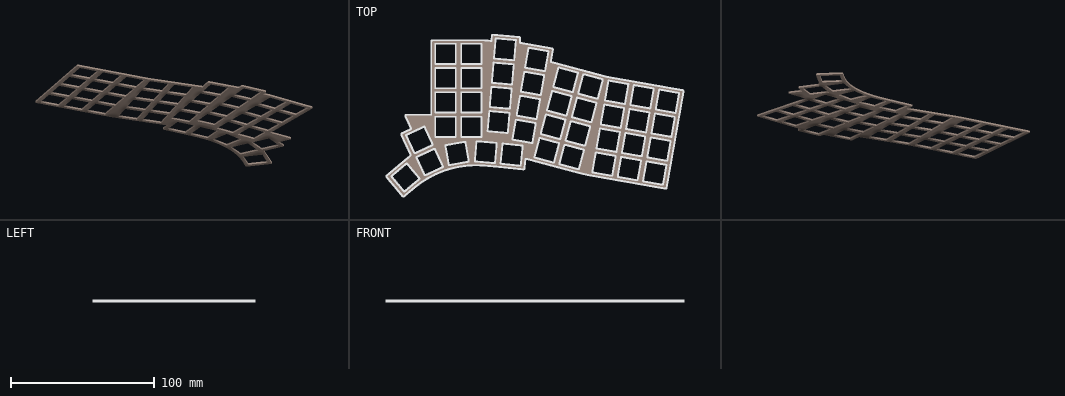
import cadquery as cq
import math

QUARTER_TURN = 90.0

PLATE_THICKNESS = 1.2
KEY_WIDTH = 18.0
KEY_DEPTH = 17.0
CUTOUT = 14.0
ROWS = 4
RIM = 1.0

INNER_CORNER = (-71.49, -16.2)
INNER_BLOCK = (2, 0.0, 0.0)
MIDDLE_BLOCK = (1, -5.0, 4.15)
RING_BLOCK = (1, -10.0, -4.12)
OUTER_BLOCK = (2, -15.0, -9.53)
LAST_COLUMNS = 3
LAST_ANGLE = -10.0

THUMB_PIVOT = (-78.1, -43.865)
THUMB_TIP_ANGLE = 40.0
THUMB_KEYS = ((25.0, 2), (10.0, 1), (-5.0, 1), (-6.0, 1))
THUMB_BLEND_RADIUS = 66.0
BLENDED_BENDS = 3

TIP_FILLET = 1.0

SHELF_DROP = 0.95
SHELF_REACH = 8.05


def shift(point, angle, along, up):
    """Move a point along the axes of a frame turned by angle degrees."""
    a = math.radians(angle)
    return (
        point[0] + along * math.cos(a) - up * math.sin(a),
        point[1] + along * math.sin(a) + up * math.cos(a),
    )


def crossing(point_a, angle_a, point_b, angle_b):
    """Point where two lines, each given by a point and a direction, meet."""
    a = math.radians(angle_a)
    b = math.radians(angle_b)
    dx = point_b[0] - point_a[0]
    dy = point_b[1] - point_a[1]
    distance = (dx * math.sin(b) - dy * math.cos(b)) / math.sin(b - a)
    return shift(point_a, angle_a, distance, 0)


class KeyBlock:
    """Rectangular group of keys, located by its bottom-left corner and angle."""

    def __init__(self, corner, angle, columns, rows):
        self.angle = angle
        self.columns = columns
        self.rows = rows
        self.bottom_left = corner
        self.bottom_right = shift(corner, angle, columns * KEY_WIDTH, 0)
        self.top_left = shift(corner, angle, 0, rows * KEY_DEPTH)
        self.top_right = shift(corner, angle, columns * KEY_WIDTH, rows * KEY_DEPTH)

    def key_centers(self):
        return [
            shift(self.bottom_left, self.angle, (column + 0.5) * KEY_WIDTH, (row + 0.5) * KEY_DEPTH)
            for column in range(self.columns)
            for row in range(self.rows)
        ]


def finger_blocks():
    """Each block starts at the bottom-right corner of the one before it."""
    blocks = []
    corner = INNER_CORNER
    for columns, angle, stagger in (INNER_BLOCK, MIDDLE_BLOCK, RING_BLOCK, OUTER_BLOCK):
        block = KeyBlock(shift(corner, angle, 0, stagger), angle, columns, ROWS)
        blocks.append(block)
        corner = block.bottom_right
    corner = shift(blocks[-1].top_right, LAST_ANGLE, 0, -ROWS * KEY_DEPTH)
    blocks.append(KeyBlock(corner, LAST_ANGLE, LAST_COLUMNS, ROWS))
    return blocks


def thumb_blocks():
    """Tip key left of the pivot, then a two-key stack and single keys to its right."""
    tip_corner = shift(THUMB_PIVOT, THUMB_TIP_ANGLE, -KEY_WIDTH, 0)
    blocks = [KeyBlock(tip_corner, THUMB_TIP_ANGLE, 1, 1)]
    corner = THUMB_PIVOT
    for angle, rows in THUMB_KEYS:
        block = KeyBlock(corner, angle, 1, rows)
        blocks.append(block)
        corner = block.bottom_right
    return blocks


def outline_points(fingers, thumbs):
    """Corners of the key area, clockwise from the inner block's top-left corner."""
    inner, middle, ring, outer, last = fingers
    tip, stack = thumbs[:2]
    end = thumbs[-1]

    top = [
        inner.top_left,
        inner.top_right,
        crossing(inner.top_right, middle.angle, middle.top_left, middle.angle + QUARTER_TURN),
        middle.top_left,
        middle.top_right,
        crossing(middle.top_right, middle.angle + QUARTER_TURN, ring.top_left, ring.angle),
        ring.top_right,
        crossing(ring.top_right, ring.angle + QUARTER_TURN, outer.top_left, outer.angle),
        outer.top_right,
        last.top_right,
    ]
    bottom = [
        last.bottom_right,
        last.bottom_left,
        outer.bottom_right,
        crossing(outer.bottom_right, outer.angle, end.bottom_right, end.angle + QUARTER_TURN),
    ]
    thumb_chain = [block.bottom_right for block in reversed(thumbs)]

    shelf_start = shift(inner.bottom_left, inner.angle, 0, KEY_DEPTH - SHELF_DROP)
    notch = shift(stack.top_left, stack.angle, SHELF_REACH, 0)
    left = [
        tip.bottom_left,
        tip.top_left,
        crossing(tip.top_left, tip.angle, stack.top_left, stack.angle + QUARTER_TURN),
        stack.top_left,
        notch,
        crossing(notch, stack.angle + QUARTER_TURN, shelf_start, inner.angle),
        shelf_start,
    ]
    return top + bottom + thumb_chain + left


def cut_keys(plate, block):
    """Cut a square switch opening through the plate at every key of a block."""
    for x, y in block.key_centers():
        opening = (
            cq.Workplane("XY")
            .transformed(offset=(x, y, 0), rotate=(0, 0, block.angle))
            .rect(CUTOUT, CUTOUT)
            .extrude(PLATE_THICKNESS)
        )
        plate = plate.cut(opening)
    return plate


def fillet_rim_corner(plate, line_a, line_b, radius):
    """Round the inward rim corner where two key edges meet.

    Each key edge is given by one of its points and its direction, with the
    key area on its left.
    """
    rim_a = shift(*line_a, 0, -RIM)
    rim_b = shift(*line_b, 0, -RIM)
    x, y = crossing(rim_a, line_a[1], rim_b, line_b[1])
    corner = cq.selectors.NearestToPointSelector((x, y, PLATE_THICKNESS / 2))
    return plate.edges("|Z").edges(corner).fillet(radius)


def blend_thumb_chain(plate, thumbs):
    """Turn the bends along the lower thumb edge into a smooth sweep."""
    for block, following in list(zip(thumbs, thumbs[1:]))[:BLENDED_BENDS]:
        bend = block.bottom_right
        plate = fillet_rim_corner(plate, (bend, block.angle), (bend, following.angle), THUMB_BLEND_RADIUS)
    return plate


def round_tip_corner(plate, thumbs):
    """Round the corner between the top of the tip key and the side of the stack."""
    tip, stack = thumbs[:2]
    stack_side = (stack.top_left, stack.angle - QUARTER_TURN)
    tip_top = (tip.top_left, tip.angle + 2 * QUARTER_TURN)
    return fillet_rim_corner(plate, tip_top, stack_side, TIP_FILLET)


fingers = finger_blocks()
thumbs = thumb_blocks()

result = (
    cq.Workplane("XY")
    .polyline(outline_points(fingers, thumbs))
    .close()
    .offset2D(RIM, "arc")
    .extrude(PLATE_THICKNESS)
)
result = blend_thumb_chain(result, thumbs)
result = round_tip_corner(result, thumbs)
for key_block in fingers + thumbs:
    result = cut_keys(result, key_block)